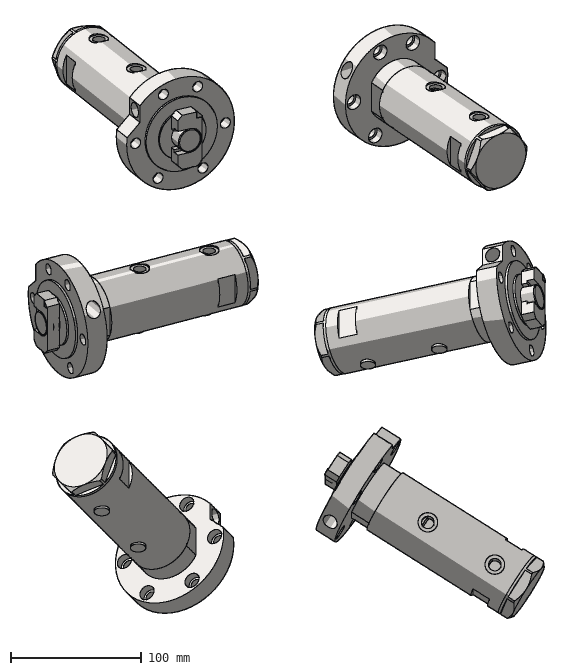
import cadquery as cq
import math


cap_hex_end = 8.6
barrel_start = 10.8
cap_plug_end = 34.8
core_start = 94.5
neck_start = 130.7
flange_start = 146.5
flange_end = 163.5
pilot_end = 165.5
sleeve_end = 167.0
coupling_start = 168.1
tang_end = 172.8
coupling_end = 178.7
overall_length = 179.2

barrel_radius = 26.0
bore_radius = 15.6
flat_offset = 23.0
barrel_flat_start = 20.6
barrel_flat_end = 35.7

port_places = [30.5, 91.5]
port_radius = 4.8
port_face_radius = 7.5
port_face_height = 24.7

stud_places = [34.8, 94.6]
stud_radius = 6.0
stud_seat_height = 23.3
stud_tip_height = 27.5

cap_end_radius = 23.0
cap_chamfer_length = 2.7
cap_turn = 22.5
hex_half_angle = 30.0

flange_radius = 47.0
pilot_radius = 31.0
bolt_circle_radius = 39.0
bolt_angles = [0.0, 67.5, 112.5, 180.0, 240.0, 300.0]
bolt_radius = 4.3
bolt_head_radius = 6.1
bolt_head_depth = 6.8
notch_wall_y = 35.3
notch_corner_z = 16.8
notch_edge_y = 46.6
notch_edge_z = 6.3
cross_hole_radius = 6.0
cross_hole_height = 24.0

shaft_radius = 9.7
stem_radius = 8.0
core_radius = 21.9
sleeve_radius = 20.3
tang_half_height = 7.9
shaft_chamfer = 0.7

coupling_half_width = 10.5
coupling_half_height = 23.0
coupling_chamfer = 4.0
coupling_head_half_height = 10.0
mark_inner_y = 6.0
mark_inner_z = 18.0


def cylinder_x(radius, start, end):
    """Solid cylinder about the X axis between two stations."""
    return cq.Workplane("YZ", origin=(start, 0, 0)).circle(radius).extrude(end - start)


def cylinder_z(radius, x, bottom, top):
    """Solid vertical cylinder whose axis crosses the X axis."""
    return cq.Workplane("XY", origin=(x, 0, bottom)).circle(radius).extrude(top - bottom)


def block(x_range, y_range, z_range):
    """Box given by its limits along X, Y and Z."""
    lows, highs = zip(x_range, y_range, z_range)
    sizes = [high - low for low, high in zip(lows, highs)]
    return cq.Workplane("XY").box(*sizes, centered=False).translate(lows)


def cut_side_flats(body, start, end):
    """Mill a flat on the -Y and +Y sides between two stations."""
    reach = 2 * barrel_radius
    for side in (-1, 1):
        y_range = sorted((side * flat_offset, side * reach))
        body = body.cut(block((start, end), y_range, (-reach, reach)))
    return body


def make_cap():
    """Hexagonal screw cap with a collar and a plug that closes the bore."""
    hexagon = (
        cq.Workplane("YZ")
        .polygon(6, 2 * flat_offset / math.cos(math.radians(hex_half_angle)))
        .extrude(cap_hex_end)
        .rotate((0, 0, 0), (1, 0, 0), cap_turn - hex_half_angle)
    )
    turned_blank = (
        cq.Workplane("XY")
        .polyline([
            (0, 0),
            (0, cap_end_radius),
            (cap_chamfer_length, barrel_radius),
            (cap_hex_end, barrel_radius),
            (cap_hex_end, 0),
        ])
        .close()
        .revolve(360, (0, 0, 0), (1, 0, 0))
    )
    collar = cylinder_x(barrel_radius, cap_hex_end, barrel_start)
    plug = cylinder_x(bore_radius, barrel_start, cap_plug_end)
    return hexagon.intersect(turned_blank).union(collar).union(plug)


def make_barrel():
    """Barrel bored for the cap plug and, wider, for the shaft core."""
    body = cylinder_x(barrel_radius, barrel_start, neck_start)
    body = cut_side_flats(body, barrel_flat_start, barrel_flat_end)
    body = body.cut(cylinder_x(bore_radius, barrel_start, core_start))
    body = body.cut(cylinder_x(core_radius, core_start, neck_start))
    for x in port_places:
        body = body.cut(cylinder_z(port_face_radius, x, port_face_height, barrel_radius))
        body = body.cut(cylinder_z(port_radius, x, 0, barrel_radius))
    for x in stud_places:
        body = body.cut(cylinder_z(stud_radius, x, -stud_tip_height, -stud_seat_height))
    return body


def make_stud(x):
    """Short stud seated in the underside of the barrel."""
    return cylinder_z(stud_radius, x, -stud_tip_height, -stud_seat_height)


def cut_notch(body):
    """Open a notch with a sloping floor in the -Y edge of the flange."""
    slope = (notch_corner_z - notch_edge_z) / (notch_edge_y - notch_wall_y)
    outer_y = 2 * flange_radius
    floor_end_z = notch_corner_z - slope * (outer_y - notch_wall_y)
    notch = (
        cq.Workplane("YZ", origin=(flange_start, 0, 0))
        .polyline([
            (-notch_wall_y, flange_radius),
            (-notch_wall_y, notch_corner_z),
            (-outer_y, floor_end_z),
            (-outer_y, flange_radius),
        ])
        .close()
        .extrude(flange_end - flange_start)
    )
    return body.cut(notch)


def cut_bolt_holes(body):
    """Drill the counterbored bolt holes, with the heads on the -X face."""
    for angle in bolt_angles:
        y = bolt_circle_radius * math.cos(math.radians(angle))
        z = bolt_circle_radius * math.sin(math.radians(angle))
        body = body.cut(cylinder_x(bolt_radius, flange_start, flange_end).translate((0, y, z)))
        head = cylinder_x(bolt_head_radius, flange_start, flange_start + bolt_head_depth)
        body = body.cut(head.translate((0, y, z)))
    return body


def make_flange():
    """Mounting flange with a flatted neck, a pilot and a cross hole."""
    neck = cut_side_flats(cylinder_x(barrel_radius, neck_start, flange_start), neck_start, flange_start)
    body = cut_notch(cylinder_x(flange_radius, flange_start, flange_end))
    body = cut_bolt_holes(body)
    body = body.union(neck).union(cylinder_x(pilot_radius, flange_end, pilot_end))
    cross_hole = (
        cq.Workplane("XZ", origin=((flange_start + flange_end) / 2, 0, cross_hole_height))
        .circle(cross_hole_radius)
        .extrude(flange_radius, both=True)
    )
    return body.cut(cross_hole).cut(cylinder_x(sleeve_radius, neck_start, sleeve_end))


def make_shaft():
    """Shaft with a thin stem, a wide core, a sleeve section and a flatted tang behind a round head."""
    body = cylinder_x(shaft_radius, core_start, coupling_end).faces(">X").chamfer(shaft_chamfer)
    body = body.union(cylinder_x(stem_radius, cap_plug_end, core_start))
    body = body.union(cylinder_x(core_radius, core_start, neck_start))
    body = body.union(cylinder_x(sleeve_radius, neck_start, sleeve_end))
    across = (-shaft_radius, shaft_radius)
    for side in (-1, 1):
        z_range = sorted((side * tang_half_height, side * 2 * shaft_radius))
        body = body.cut(block((sleeve_end, tang_end), across, z_range))
    return body


def make_coupling():
    """Coupling bar with a stepped slot, open towards -Y, that holds the shaft end."""
    bar = (
        cq.Workplane("YZ", origin=(coupling_start, 0, 0))
        .rect(2 * coupling_half_width, 2 * coupling_half_height)
        .extrude(overall_length - coupling_start)
        .edges("|X")
        .chamfer(coupling_chamfer)
    )
    front_face = block(
        (coupling_end, overall_length),
        (-coupling_half_width, coupling_half_width),
        (-coupling_half_height, coupling_half_height),
    )
    corner_mark = block(
        (coupling_end, overall_length),
        (mark_inner_y, coupling_half_width),
        (mark_inner_z, coupling_half_height),
    )
    bar = bar.cut(front_face.cut(corner_mark))

    open_side = (-coupling_half_width, 0)
    tang_heights = (-tang_half_height, tang_half_height)
    head_heights = (-coupling_head_half_height, coupling_head_half_height)
    tang_seat = cylinder_x(shaft_radius, coupling_start, tang_end).intersect(
        block((coupling_start, tang_end), (-shaft_radius, shaft_radius), tang_heights)
    )
    bar = bar.cut(tang_seat).cut(block((coupling_start, tang_end), open_side, tang_heights))
    bar = bar.cut(cylinder_x(coupling_head_half_height, tang_end, coupling_end))
    return bar.cut(block((tang_end, coupling_end), open_side, head_heights))


cap = make_cap()
barrel = make_barrel()
studs = [make_stud(x) for x in stud_places]
flange = make_flange()
shaft = make_shaft()
coupling = make_coupling()

result = cq.Compound.makeCompound([
    cap.val(),
    barrel.val(),
    *[stud.val() for stud in studs],
    flange.val(),
    shaft.val(),
    coupling.val(),
])